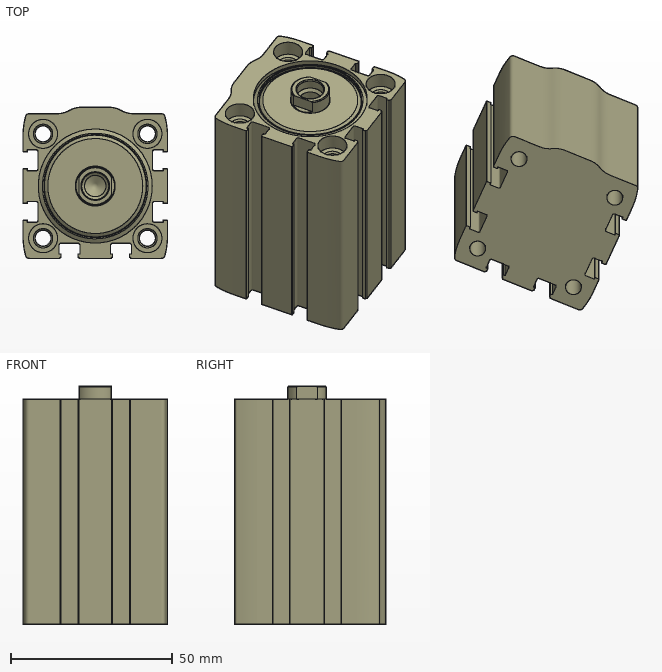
import cadquery as cq
import math

width = 45.0
half = width / 2
length = 70.0
side_flat_half = 15.4
bow_drop = 1.1
corner_radius = 1.2

pad_height = 2.0
pad_top_half = 4.3
pad_base_half = 11.8

slot_offset = 8.0
slot_mouth = 5.2
slot_width = 6.4
slot_lip = 1.4
slot_depth = 4.7
slot_floor_radius = 0.5
front_lip_radius = 0.4
side_lip_radius = 0.15

hole_offset = 16.2
hole_diameter = 4.92
hole_mouth_diameter = 6.0
counterbore_diameter = 9.0
counterbore_depth = 5.0

recess_diameter = 35.4
slope_top_diameter = 32.8
slope_top_drop = 0.1
slope_angle = 35.0
groove_diameter = 32.0
groove_drop = 0.8
bevel_foot_diameter = 31.6
cover_rim_diameter = 30.2
cover_rim_drop = 0.2
cover_face_diameter = 29.5
cover_z = length - 0.5

rod_diameter = 12.0
rod_radius = rod_diameter / 2
rod_top = length + 4.0
rod_bottom = 30.0
rod_edge_chamfer = 0.3
rod_bore_chamfer = 0.2
flat_half = 5.0
flat_bottom = length

thread_diameter = 8.4
thread_mouth_diameter = 8.9
thread_mouth_depth = 0.4
thread_depth = 3.3
drill_diameter = 6.65
drill_depth = 14.0
drill_tip_angle = 118.0


def revolve_profile(points):
    """Solid of revolution about Z from (radius, z) points."""
    return cq.Workplane("XZ").polyline(points).close().revolve(360, (0, 0, 0), (0, 1, 0))


def make_housing_blank():
    """Extruded outline with curved side ends, rounded corners and the +Y pad."""
    run = half - side_flat_half
    bow_radius = (run**2 + bow_drop**2) / (2 * bow_drop)
    bow_mid_x = half - bow_radius + math.sqrt(bow_radius**2 - (run / 2) ** 2)
    bow_mid_y = side_flat_half + run / 2
    corner_x = half - bow_drop
    pad_y = half + pad_height
    pad_mid_x = (pad_top_half + pad_base_half) / 2
    pad_mid_y = half + pad_height / 2

    blank = (
        cq.Workplane("XY")
        .moveTo(corner_x, -half)
        .threePointArc((bow_mid_x, -bow_mid_y), (half, -side_flat_half))
        .lineTo(half, side_flat_half)
        .threePointArc((bow_mid_x, bow_mid_y), (corner_x, half))
        .lineTo(pad_base_half, half)
        .tangentArcPoint((pad_mid_x, pad_mid_y), relative=False)
        .tangentArcPoint((pad_top_half, pad_y), relative=False)
        .lineTo(-pad_top_half, pad_y)
        .tangentArcPoint((-pad_mid_x, pad_mid_y), relative=False)
        .tangentArcPoint((-pad_base_half, half), relative=False)
        .lineTo(-corner_x, half)
        .threePointArc((-bow_mid_x, bow_mid_y), (-half, side_flat_half))
        .lineTo(-half, -side_flat_half)
        .threePointArc((-bow_mid_x, -bow_mid_y), (-corner_x, -half))
        .close()
        .extrude(length)
    )
    for x in (-corner_x, corner_x):
        for y in (-half, half):
            corner = cq.selectors.NearestToPointSelector((x, y, length / 2))
            blank = blank.edges("|Z").edges(corner).fillet(corner_radius)
    return blank


def make_slot_cutter(lip_radius):
    """Undercut slot opening toward -Y, centred on x = 0, with rounded outer lip edges."""
    mouth_half = slot_mouth / 2
    flare_half = mouth_half + lip_radius
    lip_y = -half + slot_lip
    mouth = (
        cq.Workplane("XY")
        .moveTo(-flare_half, -half)
        .radiusArc((-mouth_half, -half + lip_radius), lip_radius)
        .lineTo(-mouth_half, lip_y)
        .lineTo(mouth_half, lip_y)
        .lineTo(mouth_half, -half + lip_radius)
        .radiusArc((flare_half, -half), lip_radius)
        .close()
        .extrude(length)
    )
    chamber_depth = slot_depth - slot_lip
    chamber = (
        cq.Workplane("XY")
        .center(0, lip_y + chamber_depth / 2)
        .rect(slot_width, chamber_depth)
        .extrude(length)
        .edges("|Z and >Y")
        .fillet(slot_floor_radius)
    )
    return mouth.union(chamber)


def cut_slots(body):
    """Two slots on each of the -Y, -X and +X faces."""
    for x in (-slot_offset, slot_offset):
        body = body.cut(make_slot_cutter(front_lip_radius).translate((x, 0, 0)))
        side_slot = make_slot_cutter(side_lip_radius).translate((x, 0, 0))
        for angle in (-90, 90):
            body = body.cut(side_slot.rotate((0, 0, 0), (0, 0, 1), angle))
    return body


def cut_mounting_holes(body):
    """Counterbored through holes with a chamfered mouth in all four corners."""
    hole_radius = hole_diameter / 2
    mouth_radius = hole_mouth_diameter / 2
    counterbore_radius = counterbore_diameter / 2
    floor_z = length - counterbore_depth
    hole = revolve_profile([
        (0, 0),
        (hole_radius, 0),
        (hole_radius, floor_z - (mouth_radius - hole_radius)),
        (mouth_radius, floor_z),
        (counterbore_radius, floor_z),
        (counterbore_radius, length),
        (0, length),
    ])
    for x in (-hole_offset, hole_offset):
        for y in (-hole_offset, hole_offset):
            body = body.cut(hole.translate((x, y, 0)))
    return body


def cut_cover_recess(body):
    """Ring-shaped recess whose sloped shoulder and groove surround the head cover."""
    recess_radius = recess_diameter / 2
    slope_top_radius = slope_top_diameter / 2
    slope_top_z = cover_z - slope_top_drop
    slope_height = (recess_radius - slope_top_radius) * math.tan(math.radians(slope_angle))
    groove_z = cover_z - groove_drop
    return body.cut(revolve_profile([
        (0, length),
        (0, cover_z),
        (cover_face_diameter / 2, cover_z),
        (cover_rim_diameter / 2, cover_z - cover_rim_drop),
        (bevel_foot_diameter / 2, groove_z),
        (groove_diameter / 2, groove_z),
        (groove_diameter / 2, slope_top_z),
        (slope_top_radius, slope_top_z),
        (recess_radius, slope_top_z - slope_height),
        (recess_radius, length),
    ]))


def cut_rod_bore(body):
    """Blind bore holding the rod, with a small chamfer at the cover face."""
    return body.cut(revolve_profile([
        (0, rod_bottom),
        (rod_radius, rod_bottom),
        (rod_radius, cover_z - rod_bore_chamfer),
        (rod_radius + rod_bore_chamfer, cover_z),
        (0, cover_z),
    ]))


def make_housing():
    body = make_housing_blank()
    body = cut_slots(body)
    body = cut_mounting_holes(body)
    body = cut_cover_recess(body)
    return cut_rod_bore(body)


def make_rod():
    """Round rod with two wrench flats and a tapped hole in its end."""
    rod = revolve_profile([
        (0, rod_bottom),
        (rod_radius, rod_bottom),
        (rod_radius, rod_top - rod_edge_chamfer),
        (rod_radius - rod_edge_chamfer, rod_top),
        (0, rod_top),
    ])
    for side in (-1, 1):
        flat_cutter = (
            cq.Workplane("XZ")
            .moveTo(side * flat_half, rod_top)
            .lineTo(side * flat_half, flat_bottom)
            .lineTo(side * rod_radius, cover_z)
            .lineTo(side * rod_radius, rod_top)
            .close()
            .extrude(rod_radius, both=True)
        )
        rod = rod.cut(flat_cutter)

    thread_radius = thread_diameter / 2
    drill_radius = drill_diameter / 2
    thread_end_z = rod_top - thread_depth
    drill_end_z = rod_top - drill_depth
    tip_height = drill_radius / math.tan(math.radians(drill_tip_angle / 2))
    tapped_hole = revolve_profile([
        (0, rod_top),
        (thread_mouth_diameter / 2, rod_top),
        (thread_radius, rod_top - thread_mouth_depth),
        (thread_radius, thread_end_z),
        (drill_radius, thread_end_z - (thread_radius - drill_radius)),
        (drill_radius, drill_end_z),
        (0, drill_end_z - tip_height),
    ])
    return rod.cut(tapped_hole)


housing = make_housing()
rod = make_rod()
result = cq.Compound.makeCompound([housing.solids().val(), rod.solids().val()])